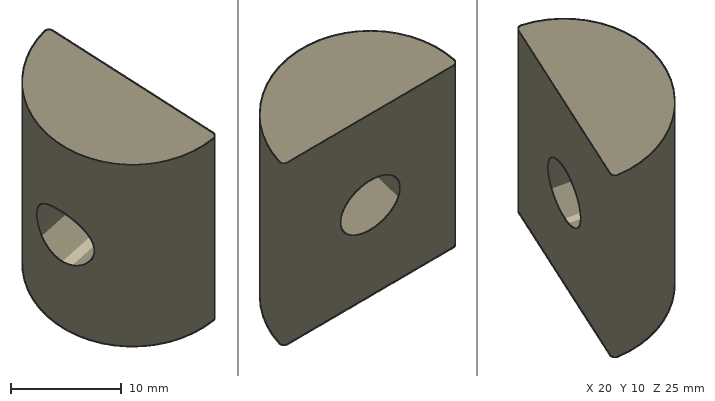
import cadquery as cq

height = 25.0
radius = 10.0
edge_fillet = 0.5
hole_diameter = 6.8


def half_round_bar():
    """Half cylinder with its flat face on the XZ plane and rounded long edges."""
    bar = (
        cq.Workplane("XY")
        .moveTo(-radius, 0)
        .threePointArc((0, -radius), (radius, 0))
        .close()
        .extrude(height)
    )
    return bar.faces(">Y").edges("|Z").fillet(edge_fillet)


def cross_hole():
    """Cylinder along Y at mid-height, long enough to pass through the bar."""
    return (
        cq.Workplane("XZ")
        .center(0, height / 2)
        .circle(hole_diameter / 2)
        .extrude(radius, both=True)
    )


result = half_round_bar().cut(cross_hole())